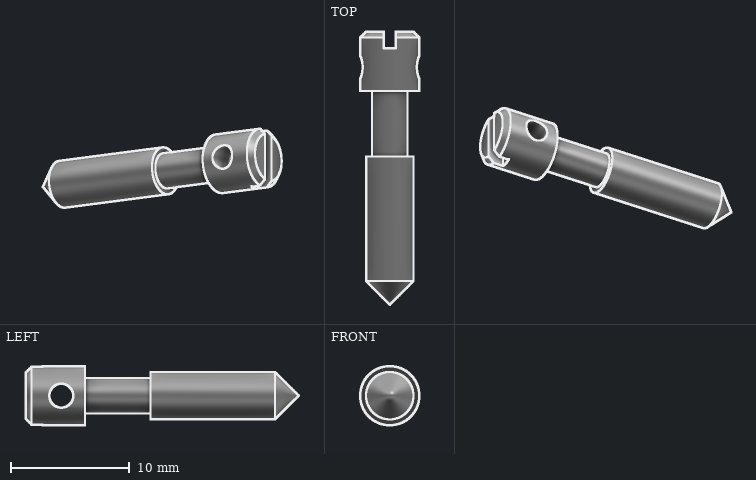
import cadquery as cq


head_diameter = 5.0
head_length = 5.0
head_chamfer = 0.5

neck_diameter = 3.0
neck_length = 5.5

shank_diameter = 4.0
shank_length = 10.5
tip_length = shank_diameter / 2

slot_width = 1.0
slot_depth = 1.4

cross_hole_diameter = 2.0
cross_hole_from_head_top = 3.0

shank_start_y = -neck_length
tip_start_y = shank_start_y - shank_length
tip_end_y = tip_start_y - tip_length


def make_turned_body():
    """Revolve the half profile of head, neck, shank and tip about the Y axis."""
    head_radius = head_diameter / 2
    neck_radius = neck_diameter / 2
    shank_radius = shank_diameter / 2
    profile = (
        cq.Workplane("XY")
        .moveTo(0, tip_end_y)
        .lineTo(shank_radius, tip_start_y)
        .lineTo(shank_radius, shank_start_y)
        .lineTo(neck_radius, shank_start_y)
        .lineTo(neck_radius, 0)
        .lineTo(head_radius, 0)
        .lineTo(head_radius, head_length - head_chamfer)
        .lineTo(head_radius - head_chamfer, head_length)
        .lineTo(0, head_length)
        .close()
    )
    return profile.revolve(360, (0, 0, 0), (0, 1, 0))


def make_driver_slot():
    """Box that cuts the slot across the full head."""
    slot = cq.Workplane("XY").box(slot_width, slot_depth, head_diameter)
    return slot.translate((0, head_length - slot_depth / 2, 0))


def make_cross_hole():
    """Cylinder that cuts the hole through both sides of the head."""
    return (
        cq.Workplane("YZ")
        .center(head_length - cross_hole_from_head_top, 0)
        .circle(cross_hole_diameter / 2)
        .extrude(head_diameter / 2, both=True)
    )


result = make_turned_body().cut(make_driver_slot()).cut(make_cross_hole())